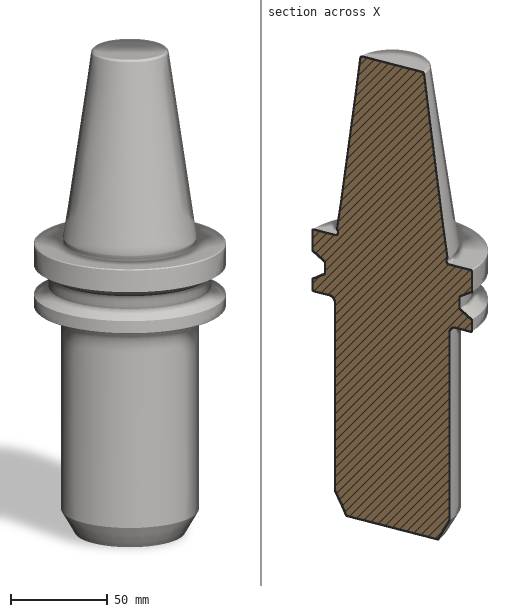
import cadquery as cq
import math

total_height = 261.8
gauge_height = 160.0
flange_top = 157.0
upper_rim_bottom = 144.8
lower_rim_top = 129.0
flange_bottom = 122.0
nose_height = 12.5

flange_radius = 100.0 / 2
groove_radius = 42.5
body_radius = 36.0
nose_radius = 28.8
gauge_radius = 34.8
neck_radius = 34.3

groove_flank_angle = 30
flank_rise = (flange_radius - groove_radius) * math.tan(math.radians(groove_flank_angle))
groove_floor_top = upper_rim_bottom - flank_rise
groove_floor_bottom = lower_rim_top + flank_rise

shank_chamfer = 1.0
flange_chamfer = 0.5
neck_fillet = 1.0
body_fillet = 3.5

taper_slope = 7 / 24 / 2
shank_rim_radius = gauge_radius - (total_height - shank_chamfer - gauge_height) * taper_slope

profile = (
    cq.Workplane("XZ")
    .lineTo(nose_radius, 0)
    .lineTo(body_radius, nose_height)
    .lineTo(body_radius, flange_bottom - body_fillet)
    .radiusArc((body_radius + body_fillet, flange_bottom), body_fillet)
    .lineTo(flange_radius - flange_chamfer, flange_bottom)
    .lineTo(flange_radius, flange_bottom + flange_chamfer)
    .lineTo(flange_radius, lower_rim_top)
    .lineTo(groove_radius, groove_floor_bottom)
    .lineTo(groove_radius, groove_floor_top)
    .lineTo(flange_radius, upper_rim_bottom)
    .lineTo(flange_radius, flange_top - flange_chamfer)
    .lineTo(flange_radius - flange_chamfer, flange_top)
    .lineTo(neck_radius + neck_fillet, flange_top)
    .radiusArc((neck_radius, flange_top + neck_fillet), neck_fillet)
    .lineTo(neck_radius, gauge_height)
    .lineTo(gauge_radius, gauge_height)
    .lineTo(shank_rim_radius, total_height - shank_chamfer)
    .lineTo(shank_rim_radius - shank_chamfer, total_height)
    .lineTo(0, total_height)
    .close()
)

result = profile.revolve(360, (0, 0), (0, 1))